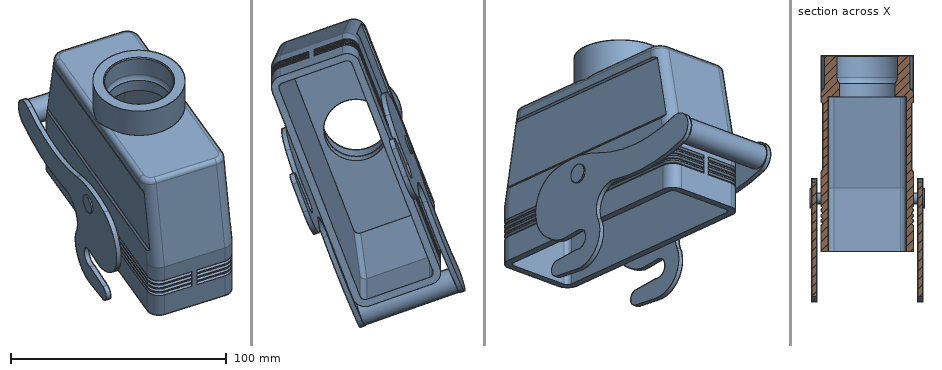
import cadquery as cq
import math

HOOD_LENGTH = 120.0
HOOD_WIDTH = 43.0
HOOD_HEIGHT = 76.0
KINK_HEIGHT = 29.5
END_SLOPE = math.tan(math.radians(11.3))
CORNER_RADIUS = 6.0
TOP_EDGE_RADIUS = 2.5
WALL = 3.5
ROOF_HEIGHT = 71.8
CAVITY_CORNER_RADIUS = CORNER_RADIUS - WALL

BAND_DEPTH = 0.8
BAND_BOTTOM = 36.8
BAND_TOP = 69.7
BAND_BOTTOM_RAMP = 1.2
BAND_TOP_RAMP = 0.9

GROOVE_COUNT = 4
GROOVE_BOTTOM = 12.2
GROOVE_PITCH = 2.45
GROOVE_WIDTH = 1.7
GROOVE_HALF_ANGLE = 45.0
END_LAND_WIDTH = 2.7

COLLAR_RADIUS = 21.4
COLLAR_TOP = 91.0
ENTRY_RADIUS = 16.0
ENTRY_CHAMFER = 0.5
ENTRY_DEPTH = 10.3
SEAT_DEPTH = 13.0
BORE_RADIUS = 15.0

OVERALL_WIDTH = 53.2
PLATE_SPAN = 51.6
PLATE_THICKNESS = 2.4
PIVOT_HEIGHT = 24.75
PIVOT_PIN_RADIUS = 2.5
RIVET_RADIUS = 4.5
LEVER_END_X = -76.0
HANDLE_RADIUS = 7.5
GRIP_RADIUS = 6.0
GRIP_SETBACK = 0.3

BULGE_CENTER = (11.8, 14.8)
BULGE_RADIUS = 18.2
CROWN_RADIUS = 50.5
CROWN_BEARING = 76.0
BELLY_RADIUS = 24.0
BELLY_BEARING = -46.5
SWEEP_RADIUS = 74.8
ELBOW_RADIUS = 11.3
ELBOW_BEARING = 155.0
UNDERSIDE_RADIUS = 92.0
HOOK_CENTER = (0.0, -8.66)
HOOK_OUTER_RADIUS = 14.7
HOOK_INNER_RADIUS = 4.85
HOOK_ROOF_BEARING = 84.0
HOOK_FLOOR_BEARING = -73.0
TIP_CENTER = (15.0, -18.2)
TIP_RADIUS = 3.9
TIP_TOP_BEARING = 84.0
LIP_POINT = (8.6, -4.6)
BELLY_END_BEARING = -81.0


def polar(center, radius, bearing):
    """Point at a distance and a bearing in degrees from a centre."""
    angle = math.radians(bearing)
    return (center[0] + radius * math.cos(angle), center[1] + radius * math.sin(angle))


def toward(start, target, distance):
    """Point at a distance from start in the direction of target."""
    bearing = math.degrees(math.atan2(target[1] - start[1], target[0] - start[0]))
    return polar(start, distance, bearing)


def third_corner(base_a, reach_a, base_b, reach_b):
    """Point at reach_a from base_a and reach_b from base_b, left of the line from a to b."""
    span = math.dist(base_a, base_b)
    bearing = math.degrees(math.atan2(base_b[1] - base_a[1], base_b[0] - base_a[0]))
    cosine = (reach_a**2 + span**2 - reach_b**2) / (2 * reach_a * span)
    return polar(base_a, reach_a, bearing + math.degrees(math.acos(cosine)))


def arc_to(outline, center, radius, start, end):
    """Extend the outline by the shorter arc about center from start to end."""
    chord_middle = ((start[0] + end[0]) / 2, (start[1] + end[1]) / 2)
    return outline.threePointArc(toward(center, chord_middle, radius), end)


def half_length(height):
    """Half of the hood length at a height."""
    return HOOD_LENGTH / 2 - max(0.0, height - KINK_HEIGHT) * END_SLOPE


def hood_block(height, inset, corner_radius):
    """House-shaped block inset from the hood's outer walls, with rounded corners."""
    base = HOOD_LENGTH / 2 - inset
    top = half_length(height) - inset
    half_width = HOOD_WIDTH / 2 - inset
    profile = [
        (-base, 0), (base, 0), (base, KINK_HEIGHT),
        (top, height), (-top, height), (-base, KINK_HEIGHT),
    ]
    block = cq.Workplane("XZ").polyline(profile).close().extrude(half_width, both=True)
    return block.edges("not (|X or |Y)").fillet(corner_radius)


def side_band():
    """Cutter for the recess on the -Y side, with ramped upper and lower edges."""
    surface = -HOOD_WIDTH / 2
    floor = surface + BAND_DEPTH
    profile = [
        (surface, BAND_BOTTOM),
        (floor, BAND_BOTTOM + BAND_BOTTOM_RAMP),
        (floor, BAND_TOP - BAND_TOP_RAMP),
        (surface, BAND_TOP),
    ]
    return cq.Workplane("YZ").polyline(profile).close().extrude(HOOD_LENGTH / 2, both=True)


def groove_ring(bottom):
    """Cutter for one V-groove running round the hood, broken at both ends."""
    flank = GROOVE_WIDTH / 2
    middle = bottom + flank

    def core(height):
        outline = cq.Sketch().rect(HOOD_LENGTH, HOOD_WIDTH).vertices().fillet(CORNER_RADIUS)
        base_plane = cq.Workplane("XY").workplane(offset=bottom)
        return base_plane.placeSketch(outline).extrude(height, taper=GROOVE_HALF_ANGLE)

    lower_core = core(flank)
    upper_core = lower_core.mirror("XY", (0, 0, middle))
    slab = cq.Workplane("XY").box(HOOD_LENGTH, HOOD_WIDTH, GROOVE_WIDTH).translate((0, 0, middle))
    land = cq.Workplane("XY").box(HOOD_LENGTH, END_LAND_WIDTH, GROOVE_WIDTH).translate((0, 0, middle))
    return slab.cut(lower_core).cut(upper_core).cut(land)


def collar():
    """Cylinder rising from the top edge rounding of the hood."""
    base = HOOD_HEIGHT - TOP_EDGE_RADIUS
    return cq.Workplane("XY").workplane(offset=base).circle(COLLAR_RADIUS).extrude(COLLAR_TOP - base)


def cable_bore():
    """Stepped cutter through the collar into the hood cavity."""
    seat_start = (ENTRY_RADIUS, COLLAR_TOP - ENTRY_DEPTH)
    seat_end = (BORE_RADIUS, COLLAR_TOP - SEAT_DEPTH)
    profile = (
        cq.Workplane("XZ")
        .moveTo(0, COLLAR_TOP)
        .lineTo(ENTRY_RADIUS + ENTRY_CHAMFER, COLLAR_TOP)
        .lineTo(ENTRY_RADIUS, COLLAR_TOP - ENTRY_CHAMFER)
        .lineTo(*seat_start)
        .tangentArcPoint(seat_end, relative=False)
        .lineTo(BORE_RADIUS, ROOF_HEIGHT)
        .lineTo(0, ROOF_HEIGHT)
        .close()
    )
    return profile.revolve(360, (0, 0, 0), (0, 1, 0))


def hood():
    """Hollow hood with its side bands, grooves, collar and cable bore."""
    body = hood_block(HOOD_HEIGHT, 0, CORNER_RADIUS)
    body = body.faces(">Z").edges().fillet(TOP_EDGE_RADIUS)
    band = side_band()
    body = body.cut(band).cut(band.mirror("XZ"))
    for index in range(GROOVE_COUNT):
        body = body.cut(groove_ring(GROOVE_BOTTOM + index * GROOVE_PITCH))
    body = body.union(collar())
    body = body.cut(hood_block(ROOF_HEIGHT, WALL, CAVITY_CORNER_RADIUS))
    return body.cut(cable_bore())


def lever_outline():
    """Closed lever outline in XZ: arcs joined by short straight runs, clockwise from the handle."""
    handle = (LEVER_END_X + HANDLE_RADIUS, PIVOT_HEIGHT)
    handle_tip = (LEVER_END_X, PIVOT_HEIGHT)
    crown = polar(BULGE_CENTER, CROWN_RADIUS - BULGE_RADIUS, CROWN_BEARING + 180)
    belly = polar(BULGE_CENTER, BELLY_RADIUS - BULGE_RADIUS, BELLY_BEARING + 180)
    sweep = third_corner(handle, SWEEP_RADIUS + HANDLE_RADIUS, crown, SWEEP_RADIUS + CROWN_RADIUS)
    elbow = polar(HOOK_CENTER, HOOK_OUTER_RADIUS + ELBOW_RADIUS, ELBOW_BEARING)
    underside = third_corner(handle, UNDERSIDE_RADIUS - HANDLE_RADIUS, elbow, UNDERSIDE_RADIUS + ELBOW_RADIUS)

    handle_top = toward(sweep, handle, SWEEP_RADIUS)
    sweep_end = toward(sweep, crown, SWEEP_RADIUS)
    crown_end = polar(crown, CROWN_RADIUS, CROWN_BEARING)
    bulge_side = polar(BULGE_CENTER, BULGE_RADIUS, 0)
    bulge_end = polar(belly, BELLY_RADIUS, BELLY_BEARING)
    belly_end = polar(belly, BELLY_RADIUS, BELLY_END_BEARING)
    hook_roof = polar(HOOK_CENTER, HOOK_INNER_RADIUS, HOOK_ROOF_BEARING)
    hook_throat = polar(HOOK_CENTER, HOOK_INNER_RADIUS, 180)
    hook_floor = polar(HOOK_CENTER, HOOK_INNER_RADIUS, HOOK_FLOOR_BEARING)
    tip_top = polar(TIP_CENTER, TIP_RADIUS, TIP_TOP_BEARING)
    tip_side = polar(TIP_CENTER, TIP_RADIUS, 0)

    tip_bearing = math.atan2(TIP_CENTER[1] - HOOK_CENTER[1], TIP_CENTER[0] - HOOK_CENTER[0])
    tangent_turn = math.acos((HOOK_OUTER_RADIUS - TIP_RADIUS) / math.dist(HOOK_CENTER, TIP_CENTER))
    tangent_bearing = math.degrees(tip_bearing - tangent_turn)
    tip_bottom = polar(TIP_CENTER, TIP_RADIUS, tangent_bearing)
    hook_bottom = polar(HOOK_CENTER, HOOK_OUTER_RADIUS, tangent_bearing)

    hook_back = toward(HOOK_CENTER, elbow, HOOK_OUTER_RADIUS)
    elbow_top = toward(elbow, underside, ELBOW_RADIUS)
    handle_bottom = toward(underside, handle, UNDERSIDE_RADIUS)

    outline = cq.Workplane("XZ").moveTo(*handle_tip)
    outline = arc_to(outline, handle, HANDLE_RADIUS, handle_tip, handle_top)
    outline = arc_to(outline, sweep, SWEEP_RADIUS, handle_top, sweep_end)
    outline = arc_to(outline, crown, CROWN_RADIUS, sweep_end, crown_end)
    outline = arc_to(outline, BULGE_CENTER, BULGE_RADIUS, crown_end, bulge_side)
    outline = arc_to(outline, BULGE_CENTER, BULGE_RADIUS, bulge_side, bulge_end)
    outline = arc_to(outline, belly, BELLY_RADIUS, bulge_end, belly_end)
    outline = outline.lineTo(*LIP_POINT).lineTo(*hook_roof)
    outline = arc_to(outline, HOOK_CENTER, HOOK_INNER_RADIUS, hook_roof, hook_throat)
    outline = arc_to(outline, HOOK_CENTER, HOOK_INNER_RADIUS, hook_throat, hook_floor)
    outline = outline.lineTo(*tip_top)
    outline = arc_to(outline, TIP_CENTER, TIP_RADIUS, tip_top, tip_side)
    outline = arc_to(outline, TIP_CENTER, TIP_RADIUS, tip_side, tip_bottom)
    outline = outline.lineTo(*hook_bottom)
    outline = arc_to(outline, HOOK_CENTER, HOOK_OUTER_RADIUS, hook_bottom, hook_back)
    outline = arc_to(outline, elbow, ELBOW_RADIUS, hook_back, elbow_top)
    outline = arc_to(outline, underside, UNDERSIDE_RADIUS, elbow_top, handle_bottom)
    outline = arc_to(outline, handle, HANDLE_RADIUS, handle_bottom, handle_tip)
    return outline.close()


def rod(x, radius, start, length):
    """Cylinder along -Y at the pivot height, starting at a distance on the -Y side."""
    plane = cq.Workplane("XZ", origin=(0, -start, 0))
    return plane.center(x, PIVOT_HEIGHT).circle(radius).extrude(length)


def lever_side():
    """Lever plate, pivot pin and rivet head on the -Y side."""
    plate_inner = PLATE_SPAN / 2 - PLATE_THICKNESS
    pin_start = HOOD_WIDTH / 2 - WALL / 2
    plate = lever_outline().extrude(PLATE_THICKNESS).translate((0, -plate_inner, 0))
    pin = rod(0, PIVOT_PIN_RADIUS, pin_start, PLATE_SPAN / 2 - pin_start)
    rivet = rod(0, RIVET_RADIUS, plate_inner, OVERALL_WIDTH / 2 - plate_inner)
    return plate.union(pin).union(rivet)


def grip():
    """Crossbar joining the two lever plates at the handle end."""
    reach = PLATE_SPAN / 2 - PLATE_THICKNESS
    return rod(LEVER_END_X + GRIP_SETBACK + GRIP_RADIUS, GRIP_RADIUS, -reach, 2 * reach)


near_side = lever_side()
result = hood().union(near_side).union(near_side.mirror("XZ")).union(grip())